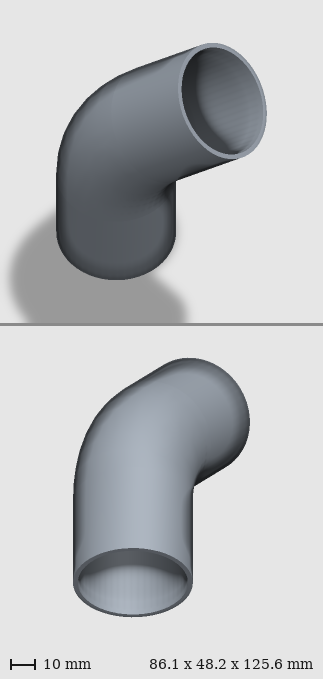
import cadquery as cq
import math

overall_height = 125.6
outer_diameter = 48.2
bore_diameter = 44.4
bend_radius = 57.0
bend_angle = 45.0

angle = math.radians(bend_angle)
outer_bend_radius = bend_radius + outer_diameter / 2
leg_length = (overall_height - outer_bend_radius * math.sin(angle)) / (1 + math.cos(angle))


def bend_point(turn):
    """Point on the bend centreline after turning by the given angle in radians."""
    x = bend_radius * (1 - math.cos(turn))
    z = leg_length + bend_radius * math.sin(turn)
    return (x, z)


bend_end_x, bend_end_z = bend_point(angle)
centreline = (
    cq.Workplane("XZ")
    .lineTo(0, leg_length)
    .threePointArc(bend_point(angle / 2), (bend_end_x, bend_end_z))
    .lineTo(
        bend_end_x + leg_length * math.sin(angle),
        bend_end_z + leg_length * math.cos(angle),
    )
)

result = (
    cq.Workplane("XY")
    .circle(outer_diameter / 2)
    .circle(bore_diameter / 2)
    .sweep(centreline)
)